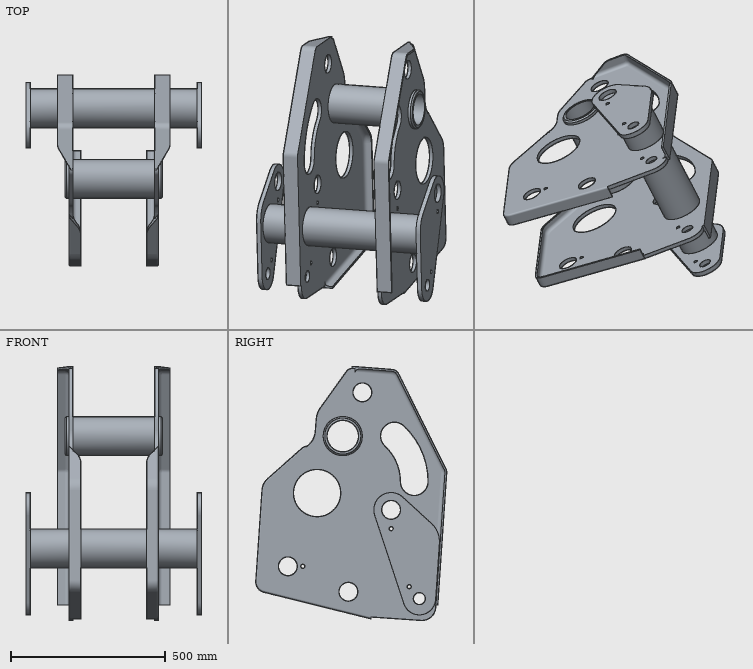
import cadquery as cq
import math


PLATE_OUTER_X = 145.0
PLATE_THICKNESS = 12.0
PLATE_INNER_X = PLATE_OUTER_X - PLATE_THICKNESS
BACK_FLANGE_X = 183.0
FRONT_FLANGE_X = 106.0
FLANGE_THICKNESS = 6.2
BEND_INNER_RADIUS = 12.0
BEND_OUTER_RADIUS = 6.1
SPAN = 1647.0

PLATE_CORNERS = [
    (143.0, 394.5, 21.0),
    (-7.5, 406.0, 25.0),
    (-112.0, 260.0, 75.0),
    (-119.0, 174.0, 67.0),
    (-282.0, 30.0, 49.5),
    (-305.0, -309.0, 30.0),
    (67.0, -401.0, 0),
    (271.0, -415.0, 45.0),
    (304.0, 72.0, 21.0),
]

BACK_FLANGE_BOTTOM_Z = -362.5
BACK_FLANGE_END_Y = 2.5
BACK_TAPER_LENGTH = 74.0
FRONT_FLANGE_TOP_Z = 153.0
FRONT_FLANGE_END_Y = 64.0
FRONT_TAPER_LENGTH = 39.0
TAPER_RADIUS = 41.0

LINK_PIVOT = (129.0, -53.5)
LINK_EYE = (221.0, -341.0)
PIN_HOLES = [(36.0, 327.0), LINK_PIVOT, (-205.0, -236.0), (-9.0, -319.0)]
PIN_HOLE_DIAMETER = 60.0
LINK_EYE_DIAMETER = 38.0
LOCK_HOLES = [(129.0, -114.5), (188.0, -302.0), (-156.5, -236.0)]
LOCK_HOLE_DIAMETER = 12.0
LARGE_HOLE = (-110.0, 1.0)
LARGE_HOLE_DIAMETER = 152.0

SLOT_CENTER = (2.5, 38.0)
SLOT_RADIUS = 202.0
SLOT_WIDTH = 89.0
SLOT_START_ANGLE = 0.0
SLOT_END_ANGLE = 47.0

TUBE_DIAMETER = 127.0
TUBE_BORE = 101.0
UPPER_TUBE = (-27.0, 185.0)
UPPER_TUBE_END_X = 158.0
UPPER_TUBE_CHAMFER = 5.0
LOWER_TUBE = (202.0, -179.0)

LINK_OUTER_X = 569.0 / 2
LINK_THICKNESS = 15.0
LINK_INNER_X = LINK_OUTER_X - LINK_THICKNESS
LINK_PIVOT_RADIUS = 56.0
LINK_EYE_RADIUS = 53.0
LINK_SHOULDER = (207.5, -156.0)
LINK_SHOULDER_RADIUS = 78.0


def yz_plane(x):
    """Work plane at the given X; local axes are Y and Z, extrusion runs toward +X."""
    return cq.Workplane("YZ", origin=(x, 0, 0))


def rounded_polygon(corners, x, length):
    """Prism along X over a polygon whose corners each have their own radius."""
    prism = yz_plane(x).polyline([(y, z) for y, z, _ in corners]).close().extrude(length)
    for y, z, radius in corners:
        if radius:
            prism = prism.edges(cq.selectors.NearestToPointSelector((x + length / 2, y, z))).fillet(radius)
    return prism


def discs(centers, diameter, x, length):
    return yz_plane(x).pushPoints(centers).circle(diameter / 2).extrude(length)


def bent_rim(outer_x, floor_x, edge_x):
    """Tray over the whole plate outline: a floor with a flange all round it."""
    direction = 1 if edge_x > floor_x else -1
    floor_side = "<X" if direction > 0 else ">X"
    outline = rounded_polygon(PLATE_CORNERS, outer_x, SPAN).faces("<X").wires()
    body = outline.toPending().offset2D(FLANGE_THICKNESS).extrude(edge_x - outer_x)
    body = body.faces(floor_side).edges().fillet(BEND_OUTER_RADIUS)
    pocket = rounded_polygon(PLATE_CORNERS, floor_x, edge_x - floor_x)
    pocket = pocket.faces(floor_side).edges().fillet(BEND_INNER_RADIUS)
    return body.cut(pocket)


def side_plate():
    return rounded_polygon(PLATE_CORNERS, -PLATE_OUTER_X, PLATE_THICKNESS)


def back_flange():
    """Outward flange, tapered toward the plate where it ends on the top edge."""
    rim = bent_rim(-PLATE_INNER_X, -PLATE_OUTER_X, -BACK_FLANGE_X)
    taper_y = BACK_FLANGE_END_Y + BACK_TAPER_LENGTH
    keep = (
        cq.Workplane("XY", origin=(0, 0, BACK_FLANGE_BOTTOM_Z))
        .moveTo(-PLATE_INNER_X, SPAN)
        .lineTo(-PLATE_INNER_X, BACK_FLANGE_END_Y)
        .lineTo(-PLATE_OUTER_X + FLANGE_THICKNESS, BACK_FLANGE_END_Y)
        .lineTo(-BACK_FLANGE_X, taper_y)
        .lineTo(-BACK_FLANGE_X, SPAN)
        .close()
        .extrude(SPAN)
    )
    corner = cq.selectors.NearestToPointSelector((-BACK_FLANGE_X, taper_y, BACK_FLANGE_BOTTOM_Z + SPAN / 2))
    return rim.intersect(keep.edges(corner).fillet(TAPER_RADIUS))


def front_flange():
    """Inward flange, tapered toward the plate where it ends at the neck."""
    rim = bent_rim(-PLATE_OUTER_X, -PLATE_INNER_X, -FRONT_FLANGE_X)
    taper_z = FRONT_FLANGE_TOP_Z - FRONT_TAPER_LENGTH
    keep = (
        cq.Workplane("XZ", origin=(0, FRONT_FLANGE_END_Y, 0))
        .moveTo(-PLATE_OUTER_X, -SPAN)
        .lineTo(-PLATE_OUTER_X, FRONT_FLANGE_TOP_Z)
        .lineTo(-FRONT_FLANGE_X, taper_z)
        .lineTo(-FRONT_FLANGE_X, -SPAN)
        .close()
        .extrude(SPAN)
    )
    corner = cq.selectors.NearestToPointSelector((-FRONT_FLANGE_X, FRONT_FLANGE_END_Y - SPAN / 2, taper_z))
    return rim.intersect(keep.edges(corner).fillet(TAPER_RADIUS))


def slot_cutter():
    """Round-ended slot that follows an arc about SLOT_CENTER."""
    half_width = SLOT_WIDTH / 2
    inner_radius = SLOT_RADIUS - half_width
    outer_radius = SLOT_RADIUS + half_width
    middle_angle = (SLOT_START_ANGLE + SLOT_END_ANGLE) / 2
    return (
        yz_plane(-SPAN / 2)
        .moveTo(*slot_point(outer_radius, SLOT_START_ANGLE))
        .threePointArc(slot_point(outer_radius, middle_angle), slot_point(outer_radius, SLOT_END_ANGLE))
        .threePointArc(slot_point(SLOT_RADIUS, SLOT_END_ANGLE, half_width), slot_point(inner_radius, SLOT_END_ANGLE))
        .threePointArc(slot_point(inner_radius, middle_angle), slot_point(inner_radius, SLOT_START_ANGLE))
        .threePointArc(
            slot_point(SLOT_RADIUS, SLOT_START_ANGLE, -half_width), slot_point(outer_radius, SLOT_START_ANGLE)
        )
        .close()
        .extrude(SPAN)
    )


def slot_point(radius, angle, advance=0.0):
    """Point at a polar position about SLOT_CENTER, moved on along the tangent by `advance`."""
    turn = math.radians(angle)
    y = SLOT_CENTER[0] + radius * math.cos(turn) - advance * math.sin(turn)
    z = SLOT_CENTER[1] + radius * math.sin(turn) + advance * math.cos(turn)
    return y, z


def tangent_angle(first, second):
    """Direction of the outward normal shared by two (y, z, radius) circles, taken counterclockwise."""
    dy = second[0] - first[0]
    dz = second[1] - first[1]
    lean = math.acos((first[2] - second[2]) / math.hypot(dy, dz))
    return math.atan2(dz, dy) - lean


def rim_point(circle, angle):
    y, z, radius = circle
    return y + radius * math.cos(angle), z + radius * math.sin(angle)


def link_plate():
    """Flat plate wrapped tightly around the pivot, eye and shoulder circles."""
    circles = [
        (*LINK_PIVOT, LINK_PIVOT_RADIUS),
        (*LINK_EYE, LINK_EYE_RADIUS),
        (*LINK_SHOULDER, LINK_SHOULDER_RADIUS),
    ]
    count = len(circles)
    normals = [tangent_angle(circles[i], circles[(i + 1) % count]) for i in range(count)]
    outline = yz_plane(-LINK_OUTER_X).moveTo(*rim_point(circles[0], normals[0]))
    for i in range(count):
        circle = circles[(i + 1) % count]
        start = normals[i]
        sweep = (normals[(i + 1) % count] - start) % math.tau
        outline = outline.lineTo(*rim_point(circle, start))
        outline = outline.threePointArc(rim_point(circle, start + sweep / 2), rim_point(circle, start + sweep))
    return outline.close().extrude(LINK_THICKNESS)


def lower_tube():
    return discs([LOWER_TUBE], TUBE_DIAMETER, -LINK_INNER_X, 2 * LINK_INNER_X)


def upper_tube():
    tube = discs([UPPER_TUBE], TUBE_DIAMETER, -UPPER_TUBE_END_X, 2 * UPPER_TUBE_END_X)
    return tube.faces("<X or >X").chamfer(UPPER_TUBE_CHAMFER)


def side_openings():
    """Everything cut straight through both side plates and both links."""
    cutter = slot_cutter()
    for centers, diameter in [
        (PIN_HOLES, PIN_HOLE_DIAMETER),
        ([LINK_EYE], LINK_EYE_DIAMETER),
        (LOCK_HOLES, LOCK_HOLE_DIAMETER),
        ([LARGE_HOLE], LARGE_HOLE_DIAMETER),
    ]:
        cutter = cutter.union(discs(centers, diameter, -SPAN / 2, SPAN))
    return cutter


left_side = side_plate().union(back_flange()).union(front_flange()).union(link_plate())
left_side = left_side.cut(side_openings())
sides = left_side.union(left_side.mirror("YZ"))
upper_bore = discs([UPPER_TUBE], TUBE_BORE, -SPAN / 2, SPAN)
result = sides.union(lower_tube()).union(upper_tube()).cut(upper_bore)